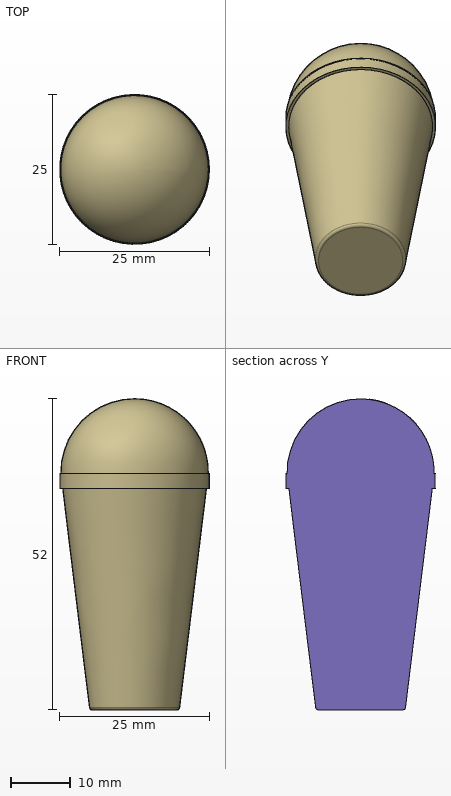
import cadquery as cq

height = 52.0
band_diameter = 25.0
band_height = 2.5

dome_base_radius = 12.3
dome_height = 12.55

grip_top_diameter = 24.0
grip_bottom_diameter = 15.0
bottom_fillet = 0.5

band_top = height - dome_height
grip_height = band_top - band_height
dome_radius = (dome_base_radius**2 + dome_height**2) / (2 * dome_height)
dome_center = height - dome_radius


def make_grip():
    """Cone widening upwards, with its lower edge rounded."""
    grip = (
        cq.Workplane("XY")
        .circle(grip_bottom_diameter / 2)
        .workplane(offset=grip_height)
        .circle(grip_top_diameter / 2)
        .loft()
    )
    return grip.faces("<Z").edges().fillet(bottom_fillet)


def make_band():
    """Plain cylindrical collar between grip and dome."""
    base = cq.Workplane("XY").workplane(offset=grip_height)
    return base.circle(band_diameter / 2).extrude(band_height)


def make_dome():
    """Spherical cap revolved from half of its section."""
    diagonal = dome_radius * 0.5**0.5
    return (
        cq.Workplane("XZ")
        .moveTo(0, band_top)
        .lineTo(dome_base_radius, band_top)
        .threePointArc((diagonal, dome_center + diagonal), (0, height))
        .close()
        .revolve(360, (0, 0, 0), (0, 1, 0))
    )


result = make_grip().union(make_band()).union(make_dome())